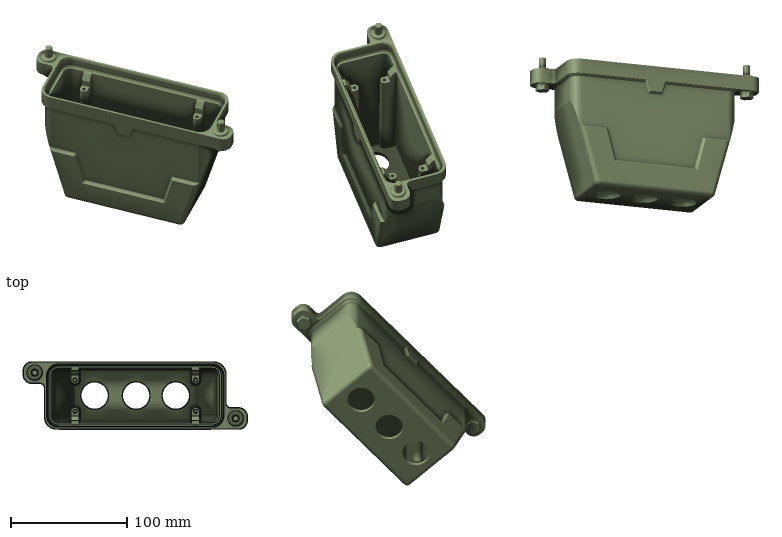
import cadquery as cq
import math

total_length = 193.0
total_depth = 58.0
total_height = 122.7

flange_length = 156.3
flange_depth = 57.9
flange_bottom = 98.2
flange_top = 111.0
flange_corner = 10.6
ear_bottom_y = 10.5
ear_corner = 7.5
ear_root_fillet = 3.9
bevel_height = 2.0
bevel_step = 2.0

recess_floor = 101.3
ledge_outer_length = 148.6
ledge_outer_depth = 50.5
ledge_outer_corner = 8.1
cove_height = 1.4
cove_step = 1.2
lead_in_height = 1.7
lead_in_step = 0.8

body_length = 151.0
body_depth = 52.9
body_corner = 8.7
taper_top = 75.5
body_bottom_length = 108.5

pad_top = 52.5
pad_edge_fillet = 4.0
pad_bottom_fillet = 3.9
pad_bevel = 2.1
notch_floor = 22.2
notch_top_half = 45.4
notch_bottom_half = 37.8
notch_corner = 1.2

tab_top_half = 10.2
tab_bottom_half = 6.4
tab_bottom = 86.8
tab_bevel_angle = 35.0

floor_thickness = 3.9
cavity_length = 144.8
cavity_depth = 47.0
cavity_corner = 6.2
cavity_floor_fillet = 1.0
cavity_draft = 0.9
cavity_taper_top = 65.6
cavity_taper_length = 140.1
cavity_floor_length = 105.8

cable_hole_diameter = 23.5
cable_hole_xs = (-35.0, 0.8, 35.0)

post_x = 52.0
post_y = 13.5
post_top = 90.5
post_width = 7.0
post_draft = 0.9
post_hole_diameter = 3.5
post_hole_depth = 15.5
rib_front_y = 17.5
rib_back_y = 21.6
rib_ramp_bottom = 96.3

bolt_x = 86.5
stud_diameter = 6.0
stud_chamfer = 0.5
collar_diameter = 13.1
collar_height = 2.0
collar_fillet = 1.4
washer_diameter = 12.5
washer_height = 0.5
head_flats = 10.5
head_bottom = 93.5

bolt_y = (flange_depth / 2 + ear_bottom_y) / 2


def rounded_block(length, depth, corner, bottom, top):
    block = cq.Workplane("XY").workplane(offset=bottom).rect(length, depth).extrude(top - bottom)
    return block.edges("|Z").fillet(corner)


def rounded_loft(lower_size, lower_corner, upper_size, upper_corner, bottom, top):
    lower = cq.Sketch().rect(*lower_size).vertices().fillet(lower_corner)
    upper = cq.Sketch().rect(*upper_size).vertices().fillet(upper_corner)
    upper = upper.moved(cq.Location(cq.Vector(0, 0, top - bottom)))
    return cq.Workplane("XY").workplane(offset=bottom).placeSketch(lower, upper).loft()


def side_prism(points, depth):
    """Outline in X and Z, extruded evenly to both sides of the XZ plane."""
    return cq.Workplane("XZ").polyline(points).close().extrude(depth / 2, both=True)


def tapered_outline(bottom, bottom_length, bend, bend_length, top, top_length):
    return [
        (-bottom_length / 2, bottom),
        (bottom_length / 2, bottom),
        (bend_length / 2, bend),
        (top_length / 2, top),
        (-top_length / 2, top),
        (-bend_length / 2, bend),
    ]


def half_turn(shape):
    return shape.rotate((0, 0, 0), (0, 0, 1), 180)


def make_ear():
    """Bolt ear at the -X, +Y corner of the flange."""
    ear_height = flange_top - flange_bottom
    ear_depth = flange_depth / 2 - ear_bottom_y
    ear_length = total_length / 2 - flange_length / 2 + flange_corner
    ear = (
        cq.Workplane("XY", origin=(-total_length / 2, ear_bottom_y, flange_bottom))
        .rect(ear_length, ear_depth, centered=False)
        .extrude(ear_height)
        .edges("|Z and <X")
        .fillet(ear_corner)
    )
    root_x = -flange_length / 2 - ear_root_fillet
    root_y = ear_bottom_y - ear_root_fillet
    root_plane = cq.Workplane("XY", origin=(root_x, root_y, flange_bottom))
    root_round = root_plane.circle(ear_root_fillet).extrude(ear_height)
    root = root_plane.rect(ear_root_fillet, ear_root_fillet, centered=False).extrude(ear_height)
    return ear.union(root.cut(root_round))


def make_flange():
    flange = rounded_block(flange_length, flange_depth, flange_corner, flange_bottom, flange_top)
    ear = make_ear()
    bevel = rounded_loft(
        (body_length, body_depth),
        body_corner,
        (body_length + 2 * bevel_step, body_depth + 2 * bevel_step),
        body_corner + bevel_step,
        flange_bottom - bevel_height,
        flange_bottom,
    )
    return flange.union(ear).union(half_turn(ear)).union(bevel)


def make_body():
    """Upper body; the pads form the part below it."""
    outline = tapered_outline(0, body_bottom_length, taper_top, body_length, flange_bottom, body_length)
    shell = rounded_block(body_length, body_depth, body_corner, pad_top, flange_bottom)
    return shell.intersect(side_prism(outline, total_depth))


def make_pads():
    slope = (body_length - body_bottom_length) / 2 / taper_top
    top_half = body_bottom_length / 2 + slope * pad_top
    bottom_half = body_bottom_length / 2
    outline = [(-bottom_half, 0), (bottom_half, 0), (top_half, pad_top), (-top_half, pad_top)]
    pads = side_prism(outline, total_depth)
    pads = pads.edges("(not #Z) and (not |Y) and (not |X)").fillet(pad_edge_fillet)
    pads = pads.faces("<Z").edges().fillet(pad_bottom_fillet)

    far = total_length / 2
    lip = pad_top - pad_bevel
    outline = [
        (-far, lip),
        (-notch_top_half, lip),
        (-notch_bottom_half, notch_floor),
        (notch_bottom_half, notch_floor),
        (notch_top_half, lip),
        (far, lip),
        (far, flange_top),
        (-far, flange_top),
    ]
    pad_rise = (total_depth - body_depth) / 2
    notch = (
        cq.Workplane("XZ", origin=(0, -total_depth / 2, 0))
        .polyline(outline)
        .close()
        .extrude(-pad_rise, taper=math.degrees(math.atan2(pad_bevel, pad_rise)))
    )
    notch_corners = cq.selectors.BoxSelector(
        (-notch_top_half - pad_bevel, -total_depth, 0), (notch_top_half + pad_bevel, 0, pad_top + pad_bevel)
    )
    notch = notch.edges("(not #Y) and (not #Z)").edges(notch_corners).fillet(notch_corner)
    return pads.cut(notch).cut(half_turn(notch))


def make_tab():
    slope = (tab_top_half - tab_bottom_half) / (flange_bottom - tab_bottom)
    top_half = tab_bottom_half + slope * (recess_floor - tab_bottom)
    outline = [
        (-tab_bottom_half, tab_bottom),
        (tab_bottom_half, tab_bottom),
        (top_half, recess_floor),
        (-top_half, recess_floor),
    ]
    return (
        cq.Workplane("XZ", origin=(0, -body_depth / 2, 0))
        .polyline(outline)
        .close()
        .extrude((flange_depth - body_depth) / 2, taper=tab_bevel_angle)
    )


def make_cavity():
    outline = tapered_outline(
        floor_thickness, cavity_floor_length, cavity_taper_top, cavity_taper_length, recess_floor, cavity_length
    )
    pocket = (
        cq.Workplane("XY", origin=(0, 0, recess_floor))
        .rect(cavity_length, cavity_depth)
        .extrude(floor_thickness - recess_floor, taper=cavity_draft)
        .intersect(side_prism(outline, total_depth))
    )
    pocket = pocket.edges("(not |X) and (not |Y)").fillet(cavity_corner)
    return pocket.faces("<Z").edges().fillet(cavity_floor_fillet)


def make_recess():
    """Stepped seat: sloped cove at the ledge, straight wall, flared mouth."""
    def size(step):
        return ledge_outer_length + 2 * step, ledge_outer_depth + 2 * step

    wall_step = cove_step
    mouth_step = cove_step + lead_in_step
    wall_bottom = recess_floor + cove_height
    wall_top = flange_top - lead_in_height
    corner = ledge_outer_corner
    cove = rounded_loft(size(0), corner, size(wall_step), corner + wall_step, recess_floor, wall_bottom)
    wall = rounded_block(*size(wall_step), corner + wall_step, wall_bottom, wall_top)
    mouth = rounded_loft(
        size(wall_step), corner + wall_step, size(mouth_step), corner + mouth_step, wall_top, flange_top
    )
    return cove.union(wall).union(mouth)


def make_post(side_x, side_y):
    """Drafted screw post joined to a long wall, with a ramped rib above it."""
    wall_y = body_depth / 2
    slot_length = 2 * (wall_y - post_y) + post_width
    post = (
        cq.Workplane("XY", origin=(post_x, wall_y, post_top))
        .slot2D(slot_length, post_width, 90)
        .extrude(-post_top, taper=-post_draft)
    )
    rib = (
        cq.Workplane("YZ", origin=(post_x, 0, 0))
        .polyline([
            (rib_front_y, post_top),
            (rib_front_y, rib_ramp_bottom),
            (rib_back_y, recess_floor),
            (wall_y, recess_floor),
            (wall_y, post_top),
        ])
        .close()
        .extrude(post_width / 2, both=True)
    )
    hole = (
        cq.Workplane("XY", origin=(post_x, post_y, post_top))
        .circle(post_hole_diameter / 2)
        .extrude(-post_hole_depth)
    )
    post = post.union(rib).cut(hole)
    if side_x < 0:
        post = post.mirror("YZ")
    if side_y < 0:
        post = post.mirror("XZ")
    return post


def make_bolt():
    """Bolt in the -X ear: stud and collar above, washer and hex head below."""
    def disc(diameter, bottom, top):
        return cq.Workplane("XY", origin=(-bolt_x, bolt_y, bottom)).circle(diameter / 2).extrude(top - bottom)

    stud = disc(stud_diameter, flange_bottom, total_height).faces(">Z").chamfer(stud_chamfer)
    collar = disc(collar_diameter, flange_top, flange_top + collar_height).faces(">Z").edges().fillet(collar_fillet)
    washer = disc(washer_diameter, flange_bottom - washer_height, flange_bottom)
    head_corners = head_flats / math.cos(math.pi / 6)
    head = (
        cq.Workplane("XY", origin=(-bolt_x, bolt_y, head_bottom))
        .transformed(rotate=(0, 0, 90))
        .polygon(6, head_corners)
        .extrude(flange_bottom - head_bottom)
    )
    return stud.union(collar).union(washer).union(head)


tab = make_tab()
bolt = make_bolt()
cavity = make_cavity()

for side_x in (-1, 1):
    for side_y in (-1, 1):
        cavity = cavity.cut(make_post(side_x, side_y))

cable_holes = (
    cq.Workplane("XY")
    .pushPoints([(x, 0) for x in cable_hole_xs])
    .circle(cable_hole_diameter / 2)
    .extrude(floor_thickness)
)

result = make_body().union(make_pads()).union(make_flange()).union(tab).union(half_turn(tab))
result = result.cut(make_recess()).cut(cavity).cut(cable_holes)
result = result.union(bolt).union(half_turn(bolt))